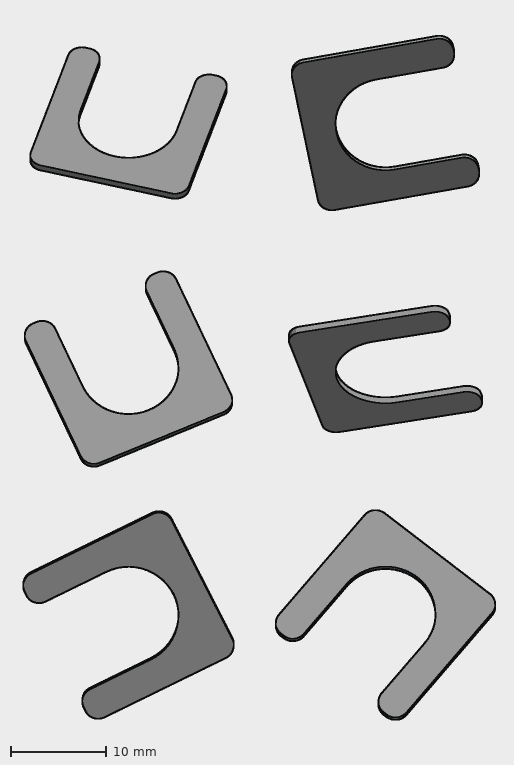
import cadquery as cq

side = 17.27
thickness = 0.81
corner_radius = 1.5

slot_width = 10.5
slot_radius = slot_width / 2


def slot_cutter():
    """Round slot end joined to a straight opening that reaches the +Y edge."""
    round_end = cq.Workplane("XY").circle(slot_radius).extrude(thickness)
    opening = cq.Workplane("XY").box(
        slot_width, side / 2, thickness, centered=(True, False, False)
    )
    return round_end.union(opening)


plate = cq.Workplane("XY").box(side, side, thickness, centered=(True, True, False))

result = plate.cut(slot_cutter()).edges("|Z").edges("<Y or >Y").fillet(corner_radius)